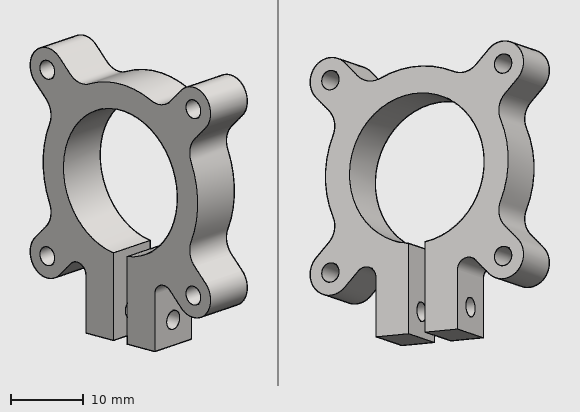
import cadquery as cq
import math

height = 39.7
width = 33.25
thickness = 7.62

ring_radius = 14.25
bore_radius = 10.48

ear_radius = 3.18
ear_hole_diameter = 2.7
ear_offset = width / 2 - ear_radius
ear_ring_fillet = 3.18

leg_outer_width = 12.7
slot_width = 2.55
leg_bottom = width / 2 - height
ear_leg_fillet = 1.63
screw_hole_diameter = 2.7
screw_height = 3.7

arm_side_gap = ear_radius * math.sqrt(2)
leg_corner_x = leg_outer_width / 2
leg_corner_z = -leg_corner_x - arm_side_gap
arm_ring_reach = math.sqrt(ring_radius**2 - ear_radius**2)
arm_ring_near = (arm_ring_reach - ear_radius) / math.sqrt(2)
arm_ring_far = (arm_ring_reach + ear_radius) / math.sqrt(2)


def plate():
    """Workplane on the middle plane of the part, with local Y along +Z."""
    return cq.Workplane("XZ")


def extrude_through(sketch):
    return sketch.extrude(thickness / 2, both=True)


def fillet_at(body, points, radius):
    """Round the edges along Y that pass through the given XZ points."""
    edges = cq.Workplane().newObject([
        body.edges("|Y").edges(cq.selectors.NearestToPointSelector((x, 0, z))).val()
        for x, z in points
    ])
    return body.newObject([body.val().fillet(radius, edges.vals())])


def diagonal_arms():
    """Two crossed slots whose round ends are the mounting ears."""
    length = 2 * (ear_offset * math.sqrt(2) + ear_radius)
    arms = extrude_through(plate().slot2D(length, 2 * ear_radius, 45))
    return arms.union(extrude_through(plate().slot2D(length, 2 * ear_radius, -45)))


def arms_with_legs():
    """Diagonal arms with the leg block, blended where the lower arms meet it."""
    block = extrude_through(plate().center(0, leg_bottom / 2).rect(leg_outer_width, -leg_bottom))
    body = diagonal_arms().union(block)
    corners = [(side * leg_corner_x, leg_corner_z) for side in (-1, 1)]
    return fillet_at(body, corners, ear_leg_fillet)


body = arms_with_legs().union(extrude_through(plate().circle(ring_radius)))
ring_corners = []
for side in (-1, 1):
    ring_corners.append((side * arm_ring_near, arm_ring_far))
    ring_corners.append((side * arm_ring_far, arm_ring_near))
    ring_corners.append((side * arm_ring_far, -arm_ring_near))
body = fillet_at(body, ring_corners, ear_ring_fillet)

body = body.cut(extrude_through(plate().circle(bore_radius)))
slot = extrude_through(plate().center(0, leg_bottom / 2).rect(slot_width, -leg_bottom))
body = body.cut(slot)

ear_holes = plate().rect(2 * ear_offset, 2 * ear_offset, forConstruction=True).vertices()
body = body.cut(extrude_through(ear_holes.circle(ear_hole_diameter / 2)))

screw_hole = (
    cq.Workplane("YZ")
    .center(0, leg_bottom + screw_height)
    .circle(screw_hole_diameter / 2)
    .extrude(leg_outer_width / 2, both=True)
)
result = body.cut(screw_hole)